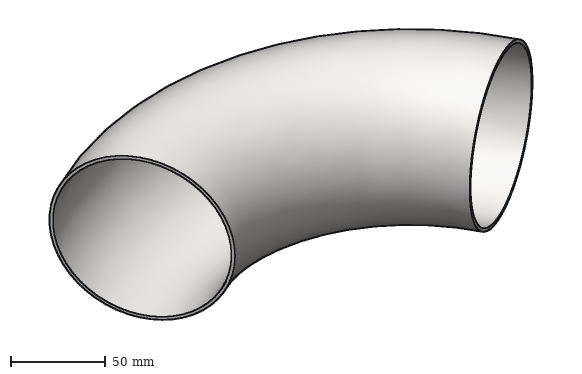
import cadquery as cq

overall_length = 202.0
outer_diameter = 104.0
wall_thickness = 2.0
bend_angle = 90.0

outer_radius = outer_diameter / 2
inner_radius = outer_radius - wall_thickness
bend_radius = overall_length - outer_radius

ring_section = (
    cq.Workplane("XZ")
    .center(-bend_radius, 0)
    .circle(outer_radius)
    .circle(inner_radius)
)

axis_start = (bend_radius, 0)
axis_end = (bend_radius, -1)

result = ring_section.revolve(bend_angle, axis_start, axis_end)